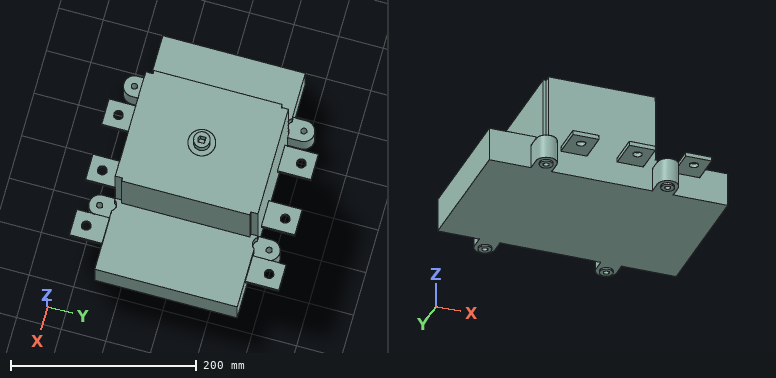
import cadquery as cq

base_left = 130.0
base_right = 145.0
body_depth = 160.0
base_height = 40.0

housing_width = 130.0
housing_top = 119.0
corner_step_x = 3.5
corner_step_y = 8.0

shaft_diameter = 18.0
shaft_top = 130.0
collar_diameter = 30.0
collar_height = 0.1
socket_width = 7.0
socket_round_diameter = 8.5
socket_depth = 10.0

terminal_span = 235.0
terminal_width = 30.0
terminal_thickness = 5.0
terminal_pitch = 65.0
terminal_first_x = -32.5
terminal_count = 3
terminal_hole_diameter = 10.0
terminal_hole_inset = 15.0

lug_height = 28.0
lug_width = 24.0
lug_hole_diameter = 6.5
lug_spacing_x = 140.0
lug_spacing_y = 190.0
pad_diameter = 15.0
pad_height = 2.0
relief_diameter = 15.0
relief_center_y = 84.0

half_depth = body_depth / 2
lug_x_positions = (-lug_spacing_x / 2, lug_spacing_x / 2)
sides = (-1, 1)


def box(x_min, x_max, y_min, y_max, z_min, z_max):
    """Axis-aligned box given by its limits."""
    size = (x_max - x_min, y_max - y_min, z_max - z_min)
    return cq.Workplane("XY").box(*size, centered=False).translate((x_min, y_min, z_min))


def cylinder(x, y, diameter, z_min, z_max):
    """Vertical cylinder centred on (x, y)."""
    return cq.Workplane("XY", origin=(x, y, z_min)).circle(diameter / 2).extrude(z_max - z_min)


def make_base():
    """Low block with a round screw relief above each lug."""
    base = box(-base_left, base_right, -half_depth, half_depth, 0, base_height)
    for x in lug_x_positions:
        for side in sides:
            base = base.cut(cylinder(x, side * relief_center_y, relief_diameter, lug_height, base_height))
    return base


def make_housing():
    """Tall central block; its corner steps are left by crossing two boxes."""
    half_width = housing_width / 2
    inner_x = half_width - corner_step_x
    inner_y = half_depth - corner_step_y
    wide = box(-half_width, half_width, -inner_y, inner_y, base_height, housing_top)
    deep = box(-inner_x, inner_x, -half_depth, half_depth, base_height, housing_top)
    return wide.union(deep)


def make_shaft():
    """Round shaft on a thin collar."""
    collar = cylinder(0, 0, collar_diameter, housing_top, housing_top + collar_height)
    return collar.union(cylinder(0, 0, shaft_diameter, housing_top, shaft_top))


def make_socket():
    """Blind socket: flat on the sides and at +Y, round at -Y."""
    half_width = socket_width / 2
    socket_bottom = shaft_top - socket_depth
    flats = box(-half_width, half_width, -socket_round_diameter / 2, half_width, socket_bottom, shaft_top)
    square_half = box(-half_width, half_width, 0, half_width, socket_bottom, shaft_top)
    round_half = flats.intersect(cylinder(0, 0, socket_round_diameter, socket_bottom, shaft_top))
    return square_half.union(round_half)


def make_terminal(x, side):
    """Flat tab with a bolt hole, standing out of one long side."""
    tab_length = (terminal_span - body_depth) / 2
    tab = cq.Workplane("XY", origin=(x, side * (half_depth + tab_length / 2), lug_height))
    tab = tab.box(terminal_width, tab_length, terminal_thickness, centered=(True, True, False))
    hole_y = side * (terminal_span / 2 - terminal_hole_inset)
    return tab.cut(
        cylinder(x, hole_y, terminal_hole_diameter, lug_height, lug_height + terminal_thickness)
    )


def make_lug(x, side):
    """Round-ended lug with a foot pad below it."""
    center_y = side * lug_spacing_y / 2
    y_limits = sorted((side * half_depth, center_y))
    lug = box(x - lug_width / 2, x + lug_width / 2, *y_limits, 0, lug_height)
    lug = lug.union(cylinder(x, center_y, lug_width, 0, lug_height))
    lug = lug.union(cylinder(x, center_y, pad_diameter, -pad_height, 0))
    return lug.cut(cylinder(x, center_y, lug_hole_diameter, -pad_height, lug_height))


result = make_base().union(make_housing()).union(make_shaft()).cut(make_socket())

for side in sides:
    for index in range(terminal_count):
        result = result.union(make_terminal(terminal_first_x + index * terminal_pitch, side))
    for lug_x in lug_x_positions:
        result = result.union(make_lug(lug_x, side))